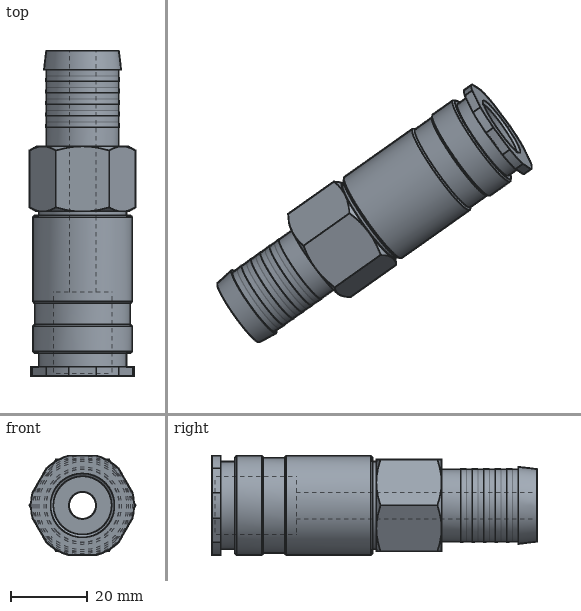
import cadquery as cq
import math


FULL_TURN = 360
AXIS_POINT = (0, 0, 0)
AXIS_END = (0, 1, 0)

FLANGE_END = 2.4
COLLAR_START = 6.0
COLLAR_END = 13.5
SLEEVE_START = 19.0
SLEEVE_END = 42.0
HEX_START = 43.0
HEX_END = 60.0
BARBS_START = 65.0
HEAD_START = 80.0
TOTAL_LENGTH = 85.0

FLANGE_RADIUS = 13.5
FLANGE_ACROSS_FLATS = 26.0

BODY_RADIUS = 13.0
GROOVE_RADIUS = 12.5
NECK_RADIUS = 11.5
EDGE_CHAMFER = 0.5

HEX_ACROSS_FLATS = 24.0
HEX_CHAMFER_ANGLE = 30.0
HEX_SIDES = 6
HEX_HALF_CORNER = math.radians(180 / HEX_SIDES)

STEM_RADIUS = 9.5
BARB_HEIGHT = 0.1
BARB_COUNT = 5
HEAD_RADIUS = 10.1
HEAD_TIP_RADIUS = 9.5
HEAD_BULGE = 0.03

SOCKET_RADIUS = 7.6
SOCKET_DEPTH = 22.0
SOCKET_CHAMFER = 0.75
PASSAGE_RADIUS = 3.5


def along_y(start):
    """Sketch plane square to the Y axis, extruding toward +Y."""
    return cq.Workplane(cq.Plane(origin=(0, start, 0), xDir=(1, 0, 0), normal=(0, 1, 0)))


def cylinder(start, end, radius):
    return along_y(start).circle(radius).extrude(end - start)


def hexagon(start, end, across_flats):
    """Hexagonal bar with corners on the X axis and flats facing up and down."""
    across_corners = across_flats / math.cos(HEX_HALF_CORNER)
    return along_y(start).polygon(HEX_SIDES, across_corners).extrude(end - start)


def flange():
    disc = cylinder(0, FLANGE_END, FLANGE_RADIUS)
    return disc.intersect(hexagon(0, FLANGE_END, FLANGE_ACROSS_FLATS))


def body():
    neck = cylinder(FLANGE_END, HEX_START, NECK_RADIUS)
    groove = cylinder(COLLAR_START + EDGE_CHAMFER, SLEEVE_START + EDGE_CHAMFER, GROOVE_RADIUS)
    collar = cylinder(COLLAR_START, COLLAR_END, BODY_RADIUS).edges().chamfer(EDGE_CHAMFER)
    sleeve = cylinder(SLEEVE_START, SLEEVE_END, BODY_RADIUS).edges().chamfer(EDGE_CHAMFER)
    return neck.union(groove).union(collar).union(sleeve)


def hex_nut():
    """Hexagon whose corners are turned down to a cone at both ends."""
    flat_radius = HEX_ACROSS_FLATS / 2
    corner_radius = flat_radius / math.cos(HEX_HALF_CORNER)
    corner_drop = (corner_radius - flat_radius) * math.tan(math.radians(HEX_CHAMFER_ANGLE))
    turned = (
        cq.Workplane("XY")
        .moveTo(0, HEX_START)
        .lineTo(flat_radius, HEX_START)
        .lineTo(corner_radius, HEX_START + corner_drop)
        .lineTo(corner_radius, HEX_END - corner_drop)
        .lineTo(flat_radius, HEX_END)
        .lineTo(0, HEX_END)
        .close()
        .revolve(FULL_TURN, AXIS_POINT, AXIS_END)
    )
    return hexagon(HEX_START, HEX_END, HEX_ACROSS_FLATS).intersect(turned)


def stem():
    """Hose stem: tapered barbs with plain lands between them, then a flared head."""
    pitch = (HEAD_START - BARBS_START) / BARB_COUNT
    profile = cq.Workplane("XY").moveTo(0, HEX_END).lineTo(STEM_RADIUS, HEX_END)
    for index in range(BARB_COUNT):
        barb_start = BARBS_START + index * pitch
        profile = (
            profile.lineTo(STEM_RADIUS, barb_start)
            .lineTo(STEM_RADIUS + BARB_HEIGHT, barb_start)
            .lineTo(STEM_RADIUS, barb_start + pitch / 2)
        )
    head_middle = (
        (HEAD_RADIUS + HEAD_TIP_RADIUS) / 2 + HEAD_BULGE,
        (HEAD_START + TOTAL_LENGTH) / 2,
    )
    return (
        profile.lineTo(STEM_RADIUS, HEAD_START)
        .lineTo(HEAD_RADIUS, HEAD_START)
        .threePointArc(head_middle, (HEAD_TIP_RADIUS, TOTAL_LENGTH))
        .lineTo(0, TOTAL_LENGTH)
        .close()
        .revolve(FULL_TURN, AXIS_POINT, AXIS_END)
    )


def bores():
    """Chamfered tube socket at the flange and a narrower passage right through."""
    mouth_radius = SOCKET_RADIUS + SOCKET_CHAMFER
    return (
        cq.Workplane("XY")
        .lineTo(mouth_radius, 0)
        .lineTo(SOCKET_RADIUS, SOCKET_CHAMFER)
        .lineTo(SOCKET_RADIUS, SOCKET_DEPTH)
        .lineTo(PASSAGE_RADIUS, SOCKET_DEPTH)
        .lineTo(PASSAGE_RADIUS, TOTAL_LENGTH)
        .lineTo(0, TOTAL_LENGTH)
        .close()
        .revolve(FULL_TURN, AXIS_POINT, AXIS_END)
    )


result = flange().union(body()).union(hex_nut()).union(stem()).cut(bores())